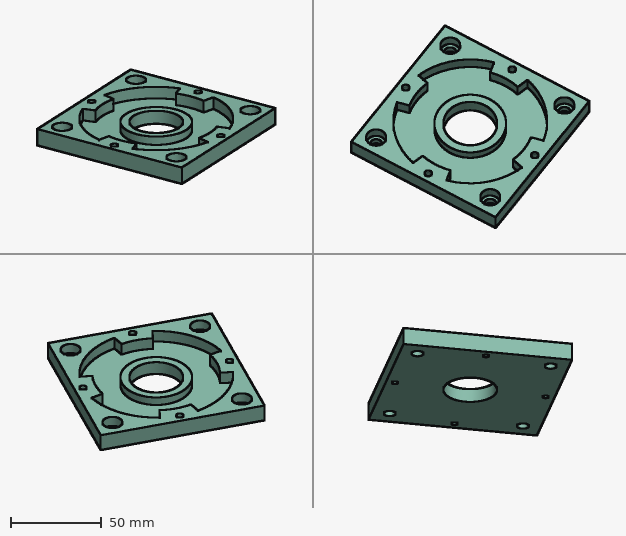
import cadquery as cq
import math

plate_side = 95.0
plate_thickness = 10.0

pocket_radius = 42.5
pocket_depth = 7.0
lug_inner_radius = 35.2
lug_half_angle = 15.0
lug_count = 4

ring_diameter = 39.6
bore_diameter = 29.6
ring_top_recess = 2.0

corner_hole_offset = 37.5
corner_hole_diameter = 6.6
counterbore_diameter = 11.0
counterbore_depth = 6.0

lug_hole_radius = 42.5
lug_hole_diameter = 3.3
lug_hole_flare_width = 0.4
lug_hole_flare_depth = 1.5


def polar(radius, angle):
    """Point at a radius and an angle in degrees."""
    return (radius * math.cos(math.radians(angle)), radius * math.sin(math.radians(angle)))


def make_pocket():
    """Solid to cut: wide sectors between the lugs, narrower in front of them."""
    lug_pitch = 360.0 / lug_count
    outline = cq.Workplane("XY").moveTo(*polar(lug_inner_radius, -lug_half_angle))
    for index in range(lug_count):
        lug_angle = index * lug_pitch
        lug_end = lug_angle + lug_half_angle
        next_lug_start = lug_angle + lug_pitch - lug_half_angle
        outline = (
            outline.threePointArc(polar(lug_inner_radius, lug_angle), polar(lug_inner_radius, lug_end))
            .lineTo(*polar(pocket_radius, lug_end))
            .threePointArc(
                polar(pocket_radius, lug_angle + lug_pitch / 2),
                polar(pocket_radius, next_lug_start),
            )
            .lineTo(*polar(lug_inner_radius, next_lug_start))
        )
    return outline.close().extrude(pocket_depth).translate((0, 0, plate_thickness - pocket_depth))


def make_ring():
    """Central ring, from the plate underside up to just below the plate top."""
    return cq.Workplane("XY").circle(ring_diameter / 2).extrude(plate_thickness - ring_top_recess)


plate = cq.Workplane("XY").box(plate_side, plate_side, plate_thickness, centered=(True, True, False))
body = plate.cut(make_pocket()).union(make_ring())

bore = cq.Workplane("XY").circle(bore_diameter / 2).extrude(plate_thickness)
body = body.cut(bore)

top_plane = cq.Workplane("XY", origin=(0, 0, plate_thickness))
corner_hole_pitch = 2 * corner_hole_offset
corner_holes = top_plane.rect(corner_hole_pitch, corner_hole_pitch, forConstruction=True).vertices()
corner_cutter = corner_holes.circle(corner_hole_diameter / 2).extrude(-plate_thickness)
counterbore_cutter = corner_holes.circle(counterbore_diameter / 2).extrude(-counterbore_depth)
body = body.cut(corner_cutter).cut(counterbore_cutter)

lug_holes = top_plane.polarArray(lug_hole_radius, 0, 360, lug_count)
lug_hole_cutter = lug_holes.circle(lug_hole_diameter / 2).extrude(-plate_thickness)
mouth_radius = lug_hole_diameter / 2 + lug_hole_flare_width
flare_angle = math.degrees(math.atan2(lug_hole_flare_width, lug_hole_flare_depth))
mouth_cutter = lug_holes.circle(mouth_radius).extrude(-lug_hole_flare_depth, taper=flare_angle)
result = body.cut(lug_hole_cutter).cut(mouth_cutter)